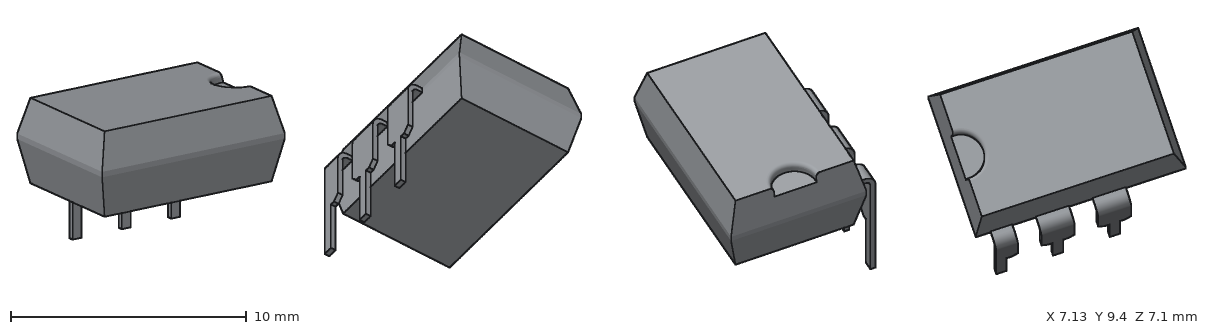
import cadquery as cq
import math

body_length = 9.4
body_width = 6.38
upper_height = 1.63
lower_height = 1.95
draft_inset = 0.4

notch_radius = 1.0
notch_depth = 0.43
notch_rim_radius = 0.2

lead_thickness = 0.24
lead_drop = 5.47
lead_reach = 0.75
bend_outer_radius = 0.51
lead_pitch = 2.54
shoulder_width = 1.485
shoulder_drop = 2.89
shoulder_chamfer = 0.29
pin_width = 0.46

band_height = lead_thickness
body_side_x = -body_width / 2
lead_outer_x = body_side_x - lead_reach


def tapered_half(base_z, height):
    """Half of the body, narrowing from the band to its end face; negative height goes down."""
    return (
        cq.Workplane("XY", origin=(0, 0, base_z))
        .rect(body_width, body_length)
        .workplane(offset=height)
        .rect(body_width - 2 * draft_inset, body_length - 2 * draft_inset)
        .loft(ruled=True)
    )


def make_notch_cutter():
    """Round pocket with a flared rim, centred on the edge of the top face."""
    center_y = body_length / 2 - draft_inset
    floor_z = upper_height - notch_depth
    rim_start_z = upper_height - notch_rim_radius
    rim_mid_offset = notch_rim_radius * math.sqrt(0.5)
    rim_outer_radius = notch_radius + notch_rim_radius
    return (
        cq.Workplane("XZ", origin=(0, center_y, 0))
        .moveTo(0, floor_z)
        .lineTo(notch_radius, floor_z)
        .lineTo(notch_radius, rim_start_z)
        .threePointArc(
            (rim_outer_radius - rim_mid_offset, rim_start_z + rim_mid_offset),
            (rim_outer_radius, upper_height),
        )
        .lineTo(0, upper_height)
        .close()
        .revolve(360, (0, 0), (0, 1))
    )


def make_body():
    band = cq.Workplane("XY", origin=(0, 0, -band_height)).rect(body_width, body_length).extrude(band_height)
    upper = tapered_half(0, upper_height)
    lower = tapered_half(-band_height, -lower_height)
    return band.union(upper).union(lower).cut(make_notch_cutter())


def lead_strip():
    """Bent strip of full shoulder width, centred on Y = 0."""
    bend_inner_radius = bend_outer_radius - lead_thickness
    bend_x = lead_outer_x + bend_outer_radius
    bend_z = -bend_outer_radius
    diagonal = math.sqrt(0.5)
    return (
        cq.Workplane("XZ")
        .moveTo(body_side_x, 0)
        .lineTo(bend_x, 0)
        .threePointArc(
            (bend_x - bend_outer_radius * diagonal, bend_z + bend_outer_radius * diagonal),
            (lead_outer_x, bend_z),
        )
        .lineTo(lead_outer_x, -lead_drop)
        .lineTo(lead_outer_x + lead_thickness, -lead_drop)
        .lineTo(lead_outer_x + lead_thickness, bend_z)
        .threePointArc(
            (bend_x - bend_inner_radius * diagonal, bend_z + bend_inner_radius * diagonal),
            (bend_x, -lead_thickness),
        )
        .lineTo(body_side_x, -lead_thickness)
        .close()
        .extrude(shoulder_width / 2, both=True)
    )


def lead_outline(has_outer_shoulder):
    """Block with the lead's stepped outline; without the +Y shoulder that side is straight."""
    half_shoulder = shoulder_width / 2
    half_pin = pin_width / 2
    chamfer_z = shoulder_chamfer - shoulder_drop
    inner_side = [
        (-half_pin, -lead_drop),
        (-half_pin, -shoulder_drop),
        (shoulder_chamfer - half_shoulder, -shoulder_drop),
        (-half_shoulder, chamfer_z),
        (-half_shoulder, 0),
    ]
    if has_outer_shoulder:
        outer_side = [(-y, z) for y, z in reversed(inner_side)]
    else:
        outer_side = [(half_pin, 0), (half_pin, -lead_drop)]
    return (
        cq.Workplane("YZ", origin=(lead_outer_x, 0, 0))
        .polyline(inner_side + outer_side)
        .close()
        .extrude(lead_reach)
    )


def make_lead(center_y, has_outer_shoulder):
    lead = lead_strip().intersect(lead_outline(has_outer_shoulder))
    return lead.translate((0, center_y, 0))


body = make_body()

lead_positions = [-lead_pitch / 2, lead_pitch / 2, 3 * lead_pitch / 2]
end_lead_y = max(lead_positions)
leads = [make_lead(y, has_outer_shoulder=y < end_lead_y) for y in lead_positions]

result = cq.Compound.makeCompound([body.solids().val(), *[lead.solids().val() for lead in leads]])